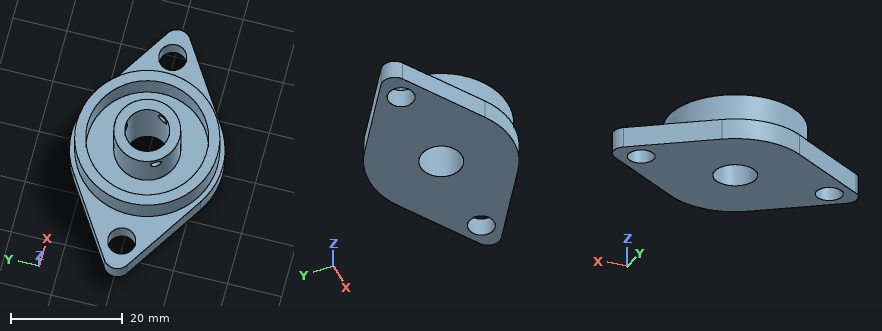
import cadquery as cq
import math

flange_length = 47.45
flange_width = 27.9
flange_thickness = 4.0
tip_radius = 2.5
mount_hole_diameter = 5.0
mount_hole_offset = 18.25

housing_diameter = 26.0
pocket_diameter = 22.0
housing_top = 9.45
pocket_floor = flange_thickness

hub_diameter = 12.0
bore_diameter = 8.0
hub_top = 13.0

screw_diameter = 2.0
screw_height = 11.2
screw_angles = (90, 210, 330)


def flange():
    """Central arcs joined to the small tip arcs by tangent straight sides."""
    middle_radius = flange_width / 2
    tip_center = flange_length / 2 - tip_radius
    normal_x = (middle_radius - tip_radius) / tip_center
    normal_y = math.sqrt(1 - normal_x**2)
    side_x = middle_radius * normal_x
    side_y = middle_radius * normal_y
    tip_x = tip_center + tip_radius * normal_x
    tip_y = tip_radius * normal_y
    return (
        cq.Workplane("XY")
        .moveTo(side_x, side_y)
        .lineTo(tip_x, tip_y)
        .threePointArc((flange_length / 2, 0), (tip_x, -tip_y))
        .lineTo(side_x, -side_y)
        .threePointArc((0, -middle_radius), (-side_x, -side_y))
        .lineTo(-tip_x, -tip_y)
        .threePointArc((-flange_length / 2, 0), (-tip_x, tip_y))
        .lineTo(-side_x, side_y)
        .threePointArc((0, middle_radius), (side_x, side_y))
        .close()
        .extrude(flange_thickness)
    )


def cylinder(diameter, bottom, top):
    return cq.Workplane("XY").workplane(offset=bottom).circle(diameter / 2).extrude(top - bottom)


def screw_hole(angle):
    """Radial hole from the hub axis outwards through one side of the wall."""
    direction = cq.Vector(math.cos(math.radians(angle)), math.sin(math.radians(angle)), 0)
    start = cq.Vector(0, 0, screw_height)
    return cq.Workplane(obj=cq.Solid.makeCylinder(screw_diameter / 2, hub_diameter, start, direction))


result = flange().union(cylinder(housing_diameter, 0, housing_top))
result = result.cut(cylinder(pocket_diameter, pocket_floor, housing_top))
result = result.union(cylinder(hub_diameter, 0, hub_top))
result = result.cut(cylinder(bore_diameter, 0, hub_top))

for side in (-1, 1):
    mount_hole = cylinder(mount_hole_diameter, 0, flange_thickness)
    result = result.cut(mount_hole.translate((side * mount_hole_offset, 0, 0)))

for screw_angle in screw_angles:
    result = result.cut(screw_hole(screw_angle))